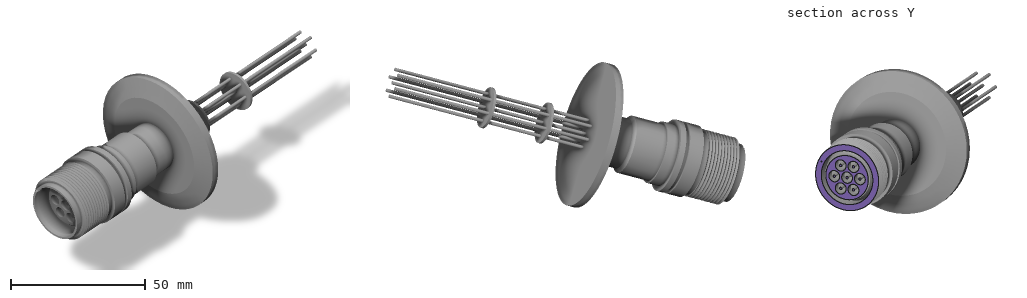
import cadquery as cq
import math

total_length = 138.5

flange_radius = 27.5
flange_face_radius = 20.0
flange_front = 54.9
flange_rim_front = 56.8
flange_back = 59.9

neck_radius = 9.5
neck_end = 45.2
body_radius = 11.0
body_back = 44.0
step_radius = 11.8
step_back = 31.9
collar_radius = 13.7
collar_groove_radius = 12.5
rear_collar_back = 27.3
rear_collar_front = 25.1
front_collar_back = 23.5
front_collar_front = 18.0
land_radius = 12.2

thread_crest_radius = 12.9
thread_root_radius = 11.9
thread_front = 2.5
thread_ridges = 11
thread_pitch = 1.2
land_front = thread_front + (thread_ridges - 0.5) * thread_pitch

mouth_radius = 11.1
bore_radius = 10.3
insulator_radius = 8.6
insulator_edge_chamfer = 0.4
insulator_front = 5.7
insulator_base_radius = 9.0
insulator_cone_front = 7.6
insulator_cone_back = 11.8

slot_width = 1.2
slot_angle = 150.0

contact_circle_radius = 5.1
contacts_around = 6
socket_radius = 2.1
socket_depth = 4.2
wire_radius = 0.62
pin_radius = 0.5
pin_recess = 1.1

spacer_radius = 7.8
spacer_thickness = 1.0
spacer_fronts = (76.2, 99.6)


def cylinder_along_y(radius, start, end, x=0, z=0):
    """Cylinder parallel to Y from y = start to y = end."""
    base = cq.Workplane("XZ", origin=(0, start, 0)).center(x, z)
    return base.circle(radius).extrude(start - end)


def thread_points():
    """Zigzag outline of the ridges, crest then root, from the land forward to the mouth."""
    points = []
    for ridge in range(thread_ridges):
        crest = land_front - ridge * thread_pitch
        points.append((thread_crest_radius, crest))
        points.append((thread_root_radius, crest - thread_pitch / 2))
    return points


def shell():
    """Flange, shell and insulator as one turned body."""
    outline = [
        (0, flange_back),
        (flange_radius, flange_back),
        (flange_radius, flange_rim_front),
        (flange_face_radius, flange_front),
        (neck_radius, flange_front),
        (neck_radius, neck_end),
        (body_radius, body_back),
        (body_radius, step_back),
        (step_radius, step_back),
        (step_radius, rear_collar_back),
        (collar_radius, rear_collar_back),
        (collar_radius, rear_collar_front),
        (collar_groove_radius, rear_collar_front),
        (collar_groove_radius, front_collar_back),
        (collar_radius, front_collar_back),
        (collar_radius, front_collar_front),
        (land_radius, front_collar_front),
        (land_radius, land_front),
        *thread_points(),
        (mouth_radius, thread_front),
        (mouth_radius, 0),
        (bore_radius, 0),
        (bore_radius, insulator_cone_back),
        (insulator_base_radius, insulator_cone_front),
        (insulator_radius, insulator_cone_front),
        (insulator_radius, insulator_front + insulator_edge_chamfer),
        (insulator_radius - insulator_edge_chamfer, insulator_front),
        (0, insulator_front),
    ]
    profile = cq.Workplane("XY").polyline(outline).close()
    return profile.revolve(360, (0, 0, 0), (0, 1, 0))


def rim_slot():
    """Cutter for the slot through the mouth wall, in front of the thread."""
    inner = (bore_radius + insulator_base_radius) / 2
    outer = mouth_radius + slot_width
    cutter = cq.Workplane("XY").box(outer - inner, thread_front, slot_width)
    cutter = cutter.translate(((inner + outer) / 2, thread_front / 2, 0))
    return cutter.rotate((0, 0, 0), (0, 1, 0), -slot_angle)


def contact_places():
    """X and Z of every contact."""
    places = [(0, 0)]
    for number in range(contacts_around):
        angle = 2 * math.pi * number / contacts_around
        places.append((contact_circle_radius * math.cos(angle), contact_circle_radius * math.sin(angle)))
    return places


result = shell().cut(rim_slot())

for spacer_front in spacer_fronts:
    result = result.union(cylinder_along_y(spacer_radius, spacer_front, spacer_front + spacer_thickness))

socket_floor = insulator_front + socket_depth
pin_front = insulator_front + pin_recess
for x, z in contact_places():
    result = result.cut(cylinder_along_y(socket_radius, insulator_front, socket_floor, x, z))
    result = result.union(cylinder_along_y(pin_radius, pin_front, socket_floor, x, z))
    result = result.union(cylinder_along_y(wire_radius, flange_back, total_length, x, z))